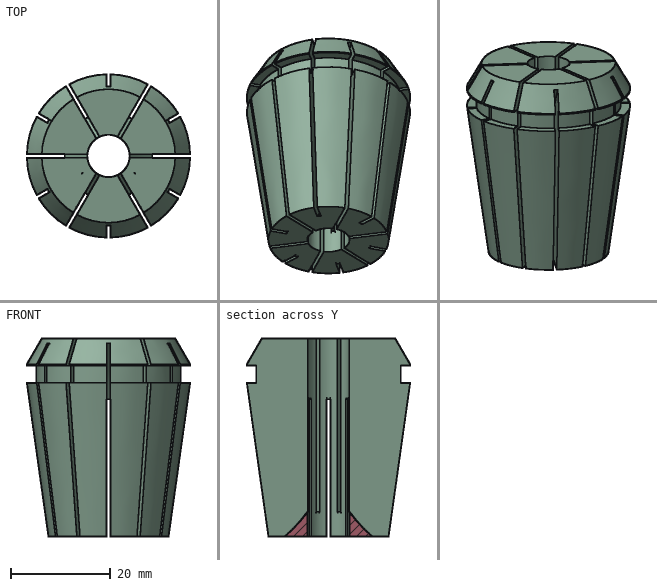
import cadquery as cq
import math

length = 40.0
max_radius = 16.5
bore_radius = 4.25
taper_half_angle = 8.0
nose_half_angle = 30.0

groove_bottom = 31.0
groove_width = 3.5
groove_radius = 14.6
rim_height = 0.25

slot_width = 0.75
slots_per_set = 6
slot_spacing = 360.0 / slots_per_set
saw_radius = 31.0
top_slot_floor_radius = 8.85
top_saw_height = 23.4
bottom_slot_roof_height = 39.0
bottom_saw_height = 13.65

groove_top = groove_bottom + groove_width
nose_bottom = groove_top + rim_height
foot_radius = max_radius - groove_bottom * math.tan(math.radians(taper_half_angle))


def nose_radius(height):
    """Radius of the upper taper at the given height."""
    return max_radius - (height - nose_bottom) * math.tan(math.radians(nose_half_angle))


def saw_centre_distance(cut_radius, cut_height, saw_height):
    """Distance of the saw centre from the axis so that its edge meets the given point."""
    return cut_radius + math.sqrt(saw_radius**2 - (cut_height - saw_height) ** 2)


def make_body():
    profile = [
        (bore_radius, 0),
        (foot_radius, 0),
        (max_radius, groove_bottom),
        (groove_radius, groove_bottom),
        (groove_radius, groove_top),
        (max_radius, groove_top),
        (max_radius, nose_bottom),
        (nose_radius(length), length),
        (bore_radius, length),
    ]
    return cq.Workplane("XZ").polyline(profile).close().revolve(360, (0, 0), (0, 1))


def cut_slots(body, centre_distance, centre_height, first_angle):
    """Cut one evenly spaced set of slots with the saw at the given position."""
    saw = (
        cq.Workplane("XZ")
        .center(centre_distance, centre_height)
        .circle(saw_radius)
        .extrude(slot_width / 2, both=True)
    )
    for index in range(slots_per_set):
        angle = first_angle + index * slot_spacing
        body = body.cut(saw.rotate((0, 0, 0), (0, 0, 1), angle))
    return body


top_saw_distance = saw_centre_distance(top_slot_floor_radius, 0, top_saw_height)
bottom_saw_distance = saw_centre_distance(
    nose_radius(bottom_slot_roof_height), bottom_slot_roof_height, bottom_saw_height
)

result = make_body()
result = cut_slots(result, top_saw_distance, top_saw_height, 0)
result = cut_slots(result, bottom_saw_distance, bottom_saw_height, slot_spacing / 2)